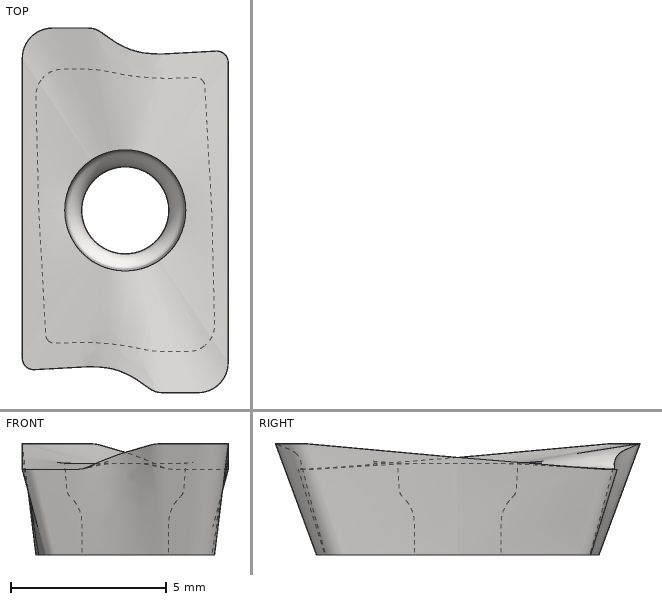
import cadquery as cq
import math

half_width = 3.319
half_length = 5.88
height = 3.6
nose_radius = 0.98
low_end_y = 5.13
low_corner_radius = 0.38
low_corner_z = 2.76
waist_z = 3.15

base_half_width = 2.88
base_half_length = 4.55
base_nose_radius = 0.86
base_waist_half_width = 2.78
base_low_half_width = 2.56
base_low_end_y = 4.28
base_low_corner_radius = 0.28

top_wave = [
    (-1.21, half_length, height),
    (-0.65, 5.64, 3.5),
    (0, 5.25, 3.31),
    (0.59, 5.08, 3.1),
    (1.12, 5.04, 2.88),
    (1.65, 5.06, low_corner_z),
]
base_wave = [
    (-1.21, base_half_length, 0),
    (-0.65, 4.49, 0),
    (0, 4.36, 0),
    (0.59, 4.29, 0),
    (1.47, 4.25, 0),
]

rim_radius = 1.95
rim_z = 2.96
step_radius = 1.89
step_z = 2.16
seat_radius = 1.75
seat_z = 1.86
bore_radius = 2.8 / 2
bore_top_z = 1.03

EAST = cq.Vector(1, 0, 0)


def corner_arc(start, center, radius, end, middle_angle):
    """Quarter arc in a level plane, bulging toward middle_angle (degrees)."""
    angle = math.radians(middle_angle)
    middle = (
        center[0] + radius * math.cos(angle),
        center[1] + radius * math.sin(angle),
        start[2],
    )
    return cq.Edge.makeThreePointArc(cq.Vector(start), cq.Vector(middle), cq.Vector(end))


def half_outline(half_x, nose_y, nose_r, waist_x, low_x, low_y, low_r, wave, side_z):
    """Edges of the +Y half, from the -X side round the end to the +X side."""
    nose_z = wave[0][2]
    low_z = wave[-1][2]
    nose_start = (-half_x, nose_y - nose_r, nose_z)
    nose_end = (-half_x + nose_r, nose_y, nose_z)
    corner_start = (low_x - low_r, low_y, low_z)
    corner_end = (low_x, low_y - low_r, low_z)
    low_run = cq.Vector(corner_start) - cq.Vector(wave[-1])

    def line(start, end):
        return cq.Edge.makeLine(cq.Vector(start), cq.Vector(end))

    return [
        line((-waist_x, 0, side_z), nose_start),
        corner_arc(nose_start, (-half_x + nose_r, nose_y - nose_r), nose_r, nose_end, 135),
        line(nose_end, wave[0]),
        cq.Edge.makeSpline([cq.Vector(p) for p in wave], tangents=[EAST, low_run.normalized()]),
        line(wave[-1], corner_start),
        corner_arc(corner_start, (low_x - low_r, low_y - low_r), low_r, corner_end, 45),
        line(corner_end, (waist_x, 0, side_z)),
    ]


def rim_point(angle):
    return cq.Vector(rim_radius * math.cos(angle), rim_radius * math.sin(angle), rim_z)


def rim_arc(outline_edge):
    """Stretch of the hole rim that faces the given outline edge."""
    start = outline_edge.startPoint()
    end = outline_edge.endPoint()
    start_angle = math.atan2(start.y, start.x)
    end_angle = math.atan2(end.y, end.x)
    middle_angle = (start_angle + end_angle) / 2
    return cq.Edge.makeThreePointArc(
        rim_point(start_angle), rim_point(middle_angle), rim_point(end_angle)
    )


def half_turn(shape):
    return shape.rotate(cq.Vector(0, 0, 0), cq.Vector(0, 0, 1), 180)


def make_body():
    """Closed body: ruled flanks, ruled top falling to a flat disc, flat base."""
    top = half_outline(
        half_width, half_length, nose_radius,
        half_width, half_width, low_end_y, low_corner_radius, top_wave, waist_z,
    )
    base = half_outline(
        base_half_width, base_half_length, base_nose_radius,
        base_waist_half_width, base_low_half_width, base_low_end_y, base_low_corner_radius, base_wave, 0,
    )
    rim = [rim_arc(edge) for edge in top]
    flanks = [cq.Face.makeRuledSurface(b, t) for b, t in zip(base, top)]
    rake = [cq.Face.makeRuledSurface(t, r) for t, r in zip(top, rim)]
    half_faces = flanks + rake
    faces = half_faces + [half_turn(face) for face in half_faces]
    for loop in (base, rim):
        whole_loop = loop + [half_turn(edge) for edge in loop]
        faces.append(cq.Face.makeFromWires(cq.Wire.assembleEdges(whole_loop)))
    return cq.Solid.makeSolid(cq.Shell.makeShell(faces)).fix()


def tangent_arc_middle(upright_end, far_end):
    """Middle point of the arc that is vertical at upright_end and stops at far_end."""
    inward = far_end[0] - upright_end[0]
    rise = far_end[1] - upright_end[1]
    radius = (inward**2 + rise**2) / (2 * inward)
    half_sweep = math.asin(rise / radius) / 2
    return (
        upright_end[0] + radius * (1 - math.cos(half_sweep)),
        upright_end[1] + radius * math.sin(half_sweep),
    )


def make_screw_hole():
    """Tapered entry, hollow step, rounded screw seat and through bore."""
    bore_top = (bore_radius, bore_top_z)
    seat_top = (seat_radius, seat_z)
    step_top = (step_radius, step_z)
    return (
        cq.Workplane("XZ")
        .lineTo(bore_radius, 0)
        .lineTo(*bore_top)
        .threePointArc(tangent_arc_middle(bore_top, seat_top), seat_top)
        .threePointArc(tangent_arc_middle(step_top, seat_top), step_top)
        .lineTo(rim_radius, rim_z)
        .lineTo(rim_radius, height)
        .lineTo(0, height)
        .close()
        .revolve(360, (0, 0, 0), (0, 1, 0))
    )


result = cq.Workplane("XY").newObject([make_body()]).cut(make_screw_hole())